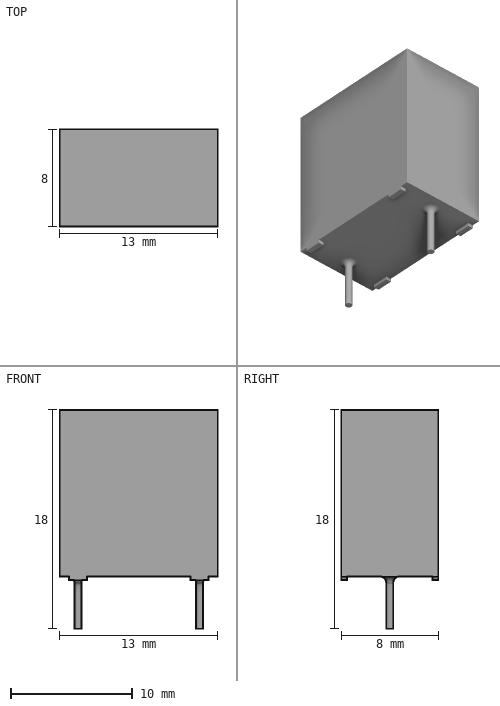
import cadquery as cq


case_length = 13.0
case_width = 8.0
overall_height = 18.0

lead_diameter = 0.6
lead_pitch = 10.0
lead_length = 4.0
meniscus_radius = 0.5

foot_length = 1.5
foot_width = 0.5
foot_height = 0.3

case_height = overall_height - lead_length - foot_height
lead_radius = lead_diameter / 2
lead_x = lead_pitch / 2
foot_y = (case_width - foot_width) / 2


def make_case():
    """Rectangular case standing on top of the feet."""
    return (
        cq.Workplane("XY")
        .workplane(offset=foot_height)
        .rect(case_length, case_width)
        .extrude(case_height)
    )


def make_feet():
    """Four feet, in line with the leads along X and flush with the case sides."""
    return (
        cq.Workplane("XY")
        .rect(2 * lead_x, 2 * foot_y, forConstruction=True)
        .vertices()
        .rect(foot_length, foot_width)
        .extrude(foot_height)
    )


def make_lead(x):
    """Round lead with a concave quarter-circle flare against the case, centred at x."""
    case_bottom = foot_height
    flare_bottom = case_bottom - meniscus_radius
    flare_radius = lead_radius + meniscus_radius
    return (
        cq.Workplane("XZ")
        .moveTo(0, -lead_length)
        .lineTo(lead_radius, -lead_length)
        .lineTo(lead_radius, flare_bottom)
        .radiusArc((flare_radius, case_bottom), meniscus_radius)
        .lineTo(0, case_bottom)
        .close()
        .revolve(360, (0, 0, 0), (0, 1, 0))
        .translate((x, 0, 0))
    )


result = make_case().union(make_feet())
for x in (-lead_x, lead_x):
    result = result.union(make_lead(x))